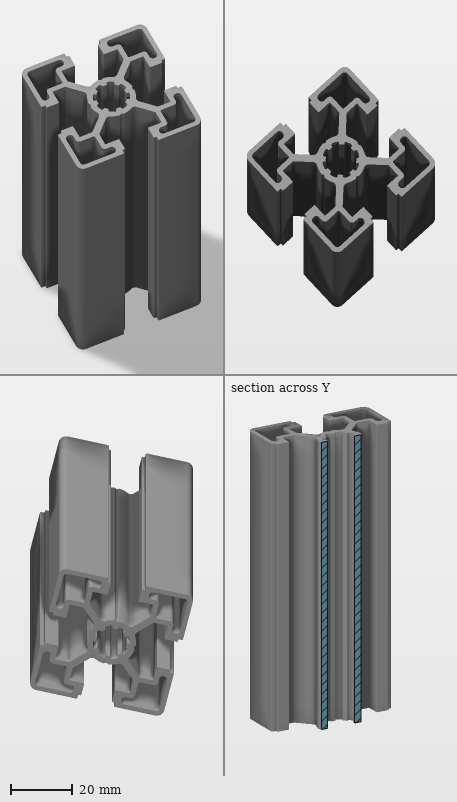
import cadquery as cq
import math

side = 45.0
length = 100.0
corner_radius = 2.5
half = side / 2

mouth_half_width = 6.2
mouth_depth = 1.5
neck_half_width = 5.2
lip_depth = 6.0
slot_half_width = 10.2
lip_radius = 0.2
mouth_floor = half - mouth_depth
lip_floor = half - lip_depth

wall = 1.6
slot_wall = 1.7
pocket_end = 8.0
pocket_radius = 1.2
pocket_bend_radius = 0.5

hub_radius = 8.0
rib_half_thickness = 1.2
root_radius = 1.5
groove_half_width = 0.7
groove_depth = 0.4
groove_edge_radius = 0.2

bore_radius = 6.1
tooth_tip_radius = 5.0
tooth_width = 1.7
tooth_count = 8
tooth_edge_radius = 0.2
tooth_root_radius = 0.5

slot_count = 4


def polar(radius, angle):
    return (radius * math.cos(angle), radius * math.sin(angle))


def mirrored(point):
    return (-point[0], point[1])


def rotated_copies(solid, count):
    """Combine equally spaced copies of a solid around the Z axis."""
    combined = solid
    for index in range(1, count):
        combined = combined.union(solid.rotate((0, 0, 0), (0, 0, 1), index * 360 / count))
    return combined


def round_corners(solid, corners, radius):
    """Fillet the lengthwise edges that pass through the given XY corners."""
    lengthwise_edges = solid.edges("|Z")
    picked = []
    for x, y in corners:
        nearest = cq.selectors.NearestToPointSelector((x, y, length / 2))
        picked += lengthwise_edges.edges(nearest).vals()
    return cq.Workplane("XY").newObject([solid.val().fillet(radius, picked)])


def slot_void():
    """Space of the +Y slot, bounded below by the ribs and the hub."""
    diagonal = math.pi / 4
    center_radius = hub_radius + root_radius
    center_offset = math.asin((rib_half_thickness + root_radius) / center_radius)
    root_angle = diagonal + center_offset
    root_center = polar(center_radius, root_angle)
    rib_reach = center_radius * math.cos(center_offset)
    rib_end = polar(
        math.hypot(rib_reach, rib_half_thickness),
        diagonal + math.atan2(rib_half_thickness, rib_reach),
    )
    hub_start = polar(hub_radius, root_angle)
    toward_rib = -diagonal
    toward_hub = root_angle - math.pi
    root_step = polar(root_radius, (toward_rib + toward_hub) / 2)
    root_middle = (root_center[0] + root_step[0], root_center[1] + root_step[1])

    groove_angle = math.acos(groove_half_width / hub_radius)
    groove_edge = polar(hub_radius, groove_angle)
    groove_bottom = (0, hub_radius - groove_depth)
    hub_middle = polar(hub_radius, (root_angle + groove_angle) / 2)

    rib_start = slot_half_width + rib_half_thickness * math.sqrt(2)
    right_side = [
        (mouth_half_width, half),
        (mouth_half_width, mouth_floor),
        (neck_half_width, mouth_floor),
        (neck_half_width, lip_floor),
        (slot_half_width, lip_floor),
        (slot_half_width, rib_start),
        rib_end,
    ]
    left_side = [mirrored(point) for point in reversed(right_side)]
    void = (
        cq.Workplane("XY")
        .polyline(right_side)
        .threePointArc(root_middle, hub_start)
        .threePointArc(hub_middle, groove_edge)
        .threePointArc(groove_bottom, mirrored(groove_edge))
        .threePointArc(mirrored(hub_middle), mirrored(hub_start))
        .threePointArc(mirrored(root_middle), left_side[0])
        .polyline(left_side[1:], includeCurrent=True)
        .close()
        .extrude(length)
    )
    return round_corners(void, [groove_edge, mirrored(groove_edge)], groove_edge_radius)


def lip_corners():
    """Outward corners of all slot lips."""
    corners = []
    for across, out in [
        (mouth_half_width, half),
        (neck_half_width, mouth_floor),
        (neck_half_width, lip_floor),
    ]:
        for x, y in [(across, out), (out, across)]:
            corners += [(x, y), (-x, y), (x, -y), (-x, -y)]
    return corners


def pocket_void():
    """L-shaped hollow of the +X +Y corner."""
    outer = half - wall
    arm_inner = lip_floor + slot_wall
    bend = slot_half_width + slot_wall
    bend_corner = (bend, bend)
    outline = [
        (outer, outer),
        (pocket_end, outer),
        (pocket_end, arm_inner),
        (bend, arm_inner),
        bend_corner,
        (arm_inner, bend),
        (arm_inner, pocket_end),
        (outer, pocket_end),
    ]
    pocket = cq.Workplane("XY").polyline(outline).close().extrude(length)
    wide_corners = [corner for corner in outline if corner != bend_corner]
    pocket = round_corners(pocket, wide_corners, pocket_radius)
    return round_corners(pocket, [bend_corner], pocket_bend_radius)


def bore_void():
    """Round bore with inward teeth, rounded at their tips and roots."""
    bore = cq.Workplane("XY").circle(bore_radius).extrude(length)
    tooth = (
        cq.Workplane("XY")
        .center((tooth_tip_radius + hub_radius) / 2, 0)
        .rect(hub_radius - tooth_tip_radius, tooth_width)
        .extrude(length)
    )
    bore = bore.cut(rotated_copies(tooth, tooth_count))

    tips = []
    roots = []
    tip_corner_radius = math.hypot(tooth_tip_radius, tooth_width / 2)
    tip_offset = math.atan2(tooth_width / 2, tooth_tip_radius)
    root_offset = math.asin(tooth_width / 2 / bore_radius)
    for index in range(tooth_count):
        angle = index * 2 * math.pi / tooth_count
        for hand in (-1, 1):
            tips.append(polar(tip_corner_radius, angle + hand * tip_offset))
            roots.append(polar(bore_radius, angle + hand * root_offset))
    bore = round_corners(bore, roots, tooth_root_radius)
    return round_corners(bore, tips, tooth_edge_radius)


body = cq.Workplane("XY").rect(side, side).extrude(length).edges("|Z").fillet(corner_radius)
body = body.cut(rotated_copies(slot_void(), slot_count))
body = round_corners(body, lip_corners(), lip_radius)
result = body.cut(rotated_copies(pocket_void(), slot_count)).cut(bore_void())